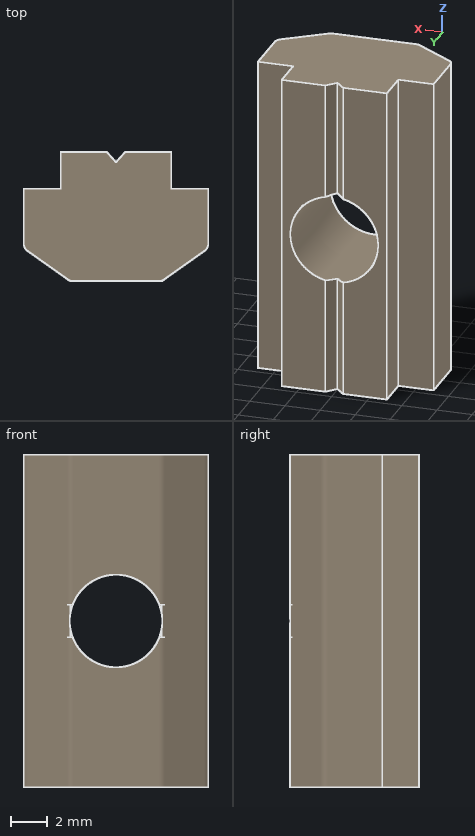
import cadquery as cq
import math

length = 18.0
width = 10.0
depth = 7.0

tongue_width = 6.0
tongue_height = 2.0
groove_width = 1.0
groove_depth = 0.55

front_flat_width = 4.97
flank_angle = 35.3
edge_radius = 0.5

hole_diameter = 5.0

sharp_length = 1.76

front_y = -depth / 2
back_y = depth / 2
shoulder_y = back_y - tongue_height
flank_run = (width - front_flat_width) / 2
flank_y = front_y + flank_run * math.tan(math.radians(flank_angle))


def make_blank(height):
    """Extrude the sharp-edged T-shaped profile, centred on the hole axis."""
    right_half = [
        (front_flat_width / 2, front_y),
        (width / 2, flank_y),
        (width / 2, shoulder_y),
        (tongue_width / 2, shoulder_y),
        (tongue_width / 2, back_y),
        (groove_width / 2, back_y),
    ]
    groove_bottom = (0, back_y - groove_depth)
    left_half = [(-x, y) for x, y in reversed(right_half)]
    profile = right_half + [groove_bottom] + left_half
    return cq.Workplane("XY").polyline(profile).close().extrude(height / 2, both=True)


def round_edges(blank, edge_y):
    """Round the pair of upright edges at the given Y position."""
    zone = cq.selectors.BoxSelector(
        (-width, edge_y - edge_radius, -length),
        (width, edge_y + edge_radius, length),
    )
    return blank.edges("|Z").edges(zone).fillet(edge_radius)


def make_hole():
    """Cylinder through the full depth, at the centre of the nut."""
    return cq.Workplane("XZ").circle(hole_diameter / 2).extrude(depth, both=True)


rounded_body = round_edges(round_edges(make_blank(length), flank_y), front_y)
sharp_stretch = round_edges(make_blank(sharp_length), flank_y)
result = rounded_body.union(sharp_stretch).cut(make_hole())